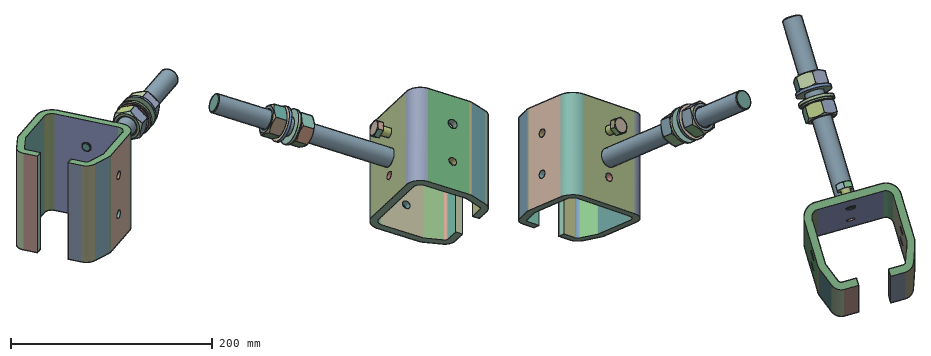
import cadquery as cq
import math


rail_width = 100.0
rail_depth = 93.8
rail_height = 110.0
sheet = 8.0
lip_gap = 33.0
taper_angle = math.radians(20)
taper_start = 65.2
back_bend_radius = 16.0
taper_bend_radius = 10.0
lip_bend_radius = 11.8

thread_diameter = 10.0
tapped_diameter = 8.5
side_hole_depth = 44.0
side_hole_offset = 22.0
back_hole_offset = 25.0

total_length = 295.0
rod_diameter = 20.0
rod_length = total_length - rail_depth
rod_height = -4.0
rod_chamfer = 1.0

nut_across_flats = 30.0
nut_face_diameter = 28.0
nut_countersink = 1.2
nut_thickness = 16.0
nut_turn = 20
flat_washer_diameter = 37.0
flat_washer_thickness = 3.0
spring_washer_diameter = 33.3
spring_washer_thickness = 1.8
inner_nut_start = 93.8
washer_gap = 7.7

head_across_flats = 16.0
head_face_diameter = 15.3
head_thickness = 6.5
head_turn = 33
head_start = 11.2
screw_protrusion = 1.2
screw_tip_chamfer = 1.0
underhead_fillet = 0.5

corner_chamfer_angle = math.radians(30)


def cylinder_y(diameter, start, length, height):
    """Cylinder along +Y, with its axis at X = 0 and Z = height."""
    return cq.Workplane("XZ", origin=(0, start, height)).circle(diameter / 2).extrude(-length)


def hexagon_y(across_flats, face_diameter, start, length, height, turn, chamfered_faces):
    """Hexagonal prism along +Y whose corners are turned down to face_diameter at the chamfered faces."""
    corner_radius = across_flats / math.sqrt(3)
    corner_inset = corner_radius - face_diameter / 2
    corner_drop = corner_inset * math.tan(corner_chamfer_angle)
    prism = (
        cq.Workplane("XZ", origin=(0, start, height))
        .polygon(6, 2 * corner_radius)
        .extrude(-length)
        .rotate((0, 0, height), (0, -1, height), turn)
    )
    turned_blank = (
        cylinder_y(2 * corner_radius, start, length, height)
        .faces(chamfered_faces)
        .chamfer(corner_drop, corner_inset)
    )
    return prism.intersect(turned_blank)


def rail_block(inset):
    """Solid block with the rail's bent outline, moved inwards by inset."""
    half_width = rail_width / 2 - inset
    back = -inset
    bend = -taper_start + inset * math.tan(taper_angle / 2)
    front = -rail_depth + inset
    front_half_width = half_width - (bend - front) * math.tan(taper_angle)
    right_side = [(half_width, back), (half_width, bend), (front_half_width, front)]
    left_side = [(-x, y) for x, y in reversed(right_side)]
    block = (
        cq.Workplane("XY", origin=(0, 0, -rail_height / 2))
        .polyline(right_side + left_side)
        .close()
        .extrude(rail_height)
    )
    bends = zip(right_side, (back_bend_radius, taper_bend_radius, lip_bend_radius))
    for (x, y), outer_radius in bends:
        for side in (-1, 1):
            corner = block.edges(cq.selectors.NearestToPointSelector((side * x, y, 0)))
            block = corner.fillet(outer_radius - inset)
    return block


def make_rail():
    rail = rail_block(0).cut(rail_block(sheet))
    lip_opening = cq.Workplane("XY").box(lip_gap, 2 * sheet, rail_height).translate((0, -rail_depth, 0))
    rail = rail.cut(lip_opening)

    for height in (-side_hole_offset, side_hole_offset):
        side_axis = cq.Workplane("YZ", origin=(0, -side_hole_depth, height))
        rail = rail.cut(side_axis.circle(tapped_diameter / 2).extrude(rail_width, both=True))
    upper_axis = cq.Workplane("YZ", origin=(0, -side_hole_depth, side_hole_offset))
    rail = rail.cut(upper_axis.circle(thread_diameter / 2).extrude(-rail_width))

    rail = rail.cut(cylinder_y(thread_diameter, -2 * sheet, 2 * sheet, back_hole_offset))
    return rail.cut(cylinder_y(tapped_diameter, -2 * sheet, 2 * sheet, -back_hole_offset))


def make_rod():
    return cylinder_y(rod_diameter, 0, rod_length, rod_height).faces(">Y").chamfer(rod_chamfer)


def make_nut(start):
    nut = hexagon_y(
        nut_across_flats, nut_face_diameter, start, nut_thickness, rod_height, nut_turn, "<Y or >Y"
    )
    nut = nut.cut(cylinder_y(rod_diameter, start, nut_thickness, rod_height))
    bore_rims = nut.faces("<Y or >Y").edges(cq.selectors.RadiusNthSelector(0))
    return bore_rims.chamfer(nut_countersink)


def make_washer(diameter, start, thickness):
    washer = cylinder_y(diameter, start, thickness, rod_height)
    return washer.cut(cylinder_y(rod_diameter, start, thickness, rod_height))


def make_screw():
    tip = -sheet - screw_protrusion
    shank = cylinder_y(thread_diameter, tip, head_start - tip, back_hole_offset)
    shank = shank.faces("<Y").chamfer(screw_tip_chamfer)
    head = hexagon_y(
        head_across_flats, head_face_diameter, head_start, head_thickness, back_hole_offset, head_turn, ">Y"
    )
    neck = cq.selectors.NearestToPointSelector((0, head_start, back_hole_offset))
    return shank.union(head).edges(neck).fillet(underhead_fillet)


spring_washer_start = inner_nut_start + nut_thickness
inner_washer_start = spring_washer_start + spring_washer_thickness
outer_washer_start = inner_washer_start + flat_washer_thickness + washer_gap
outer_nut_start = outer_washer_start + flat_washer_thickness

rail = make_rail()
rod = make_rod()
screw = make_screw()
nuts = [make_nut(start) for start in (inner_nut_start, outer_nut_start)]
flat_washers = [
    make_washer(flat_washer_diameter, start, flat_washer_thickness)
    for start in (inner_washer_start, outer_washer_start)
]
spring_washer = make_washer(spring_washer_diameter, spring_washer_start, spring_washer_thickness)

bodies = [rail, rod, screw, *nuts, *flat_washers, spring_washer]
result = cq.Compound.makeCompound([body.solids().val() for body in bodies])